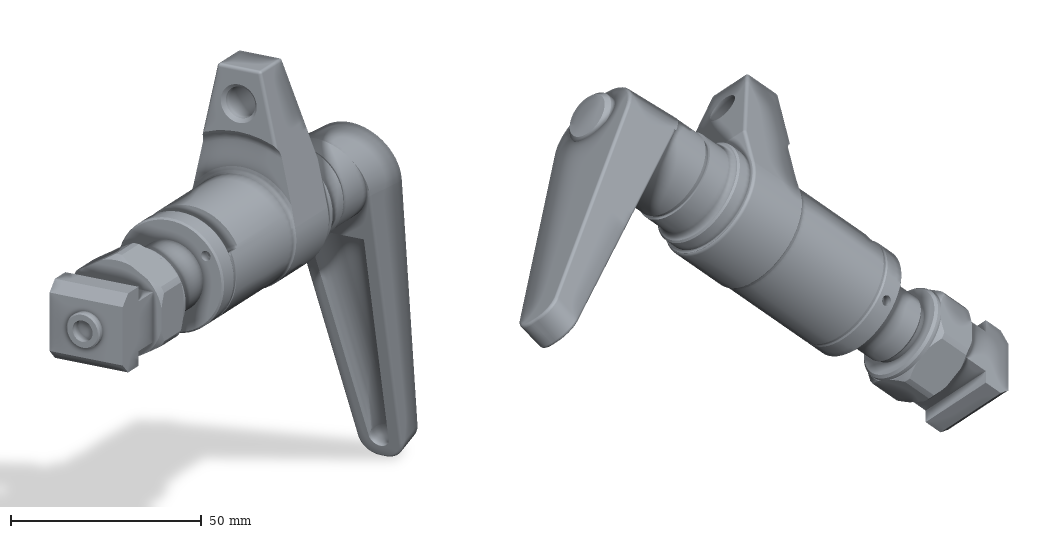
import cadquery as cq
import math


SHAFT_R = 10.0
SLEEVE_LENGTH = 69.5

BODY_R = 16.0
RING_LENGTH = 6.2
RING_CHAMFER = 0.5
RING_GROOVE_LENGTH = 0.9
RING_GROOVE_DEPTH = 0.3
COLLAR_R = 15.1
COLLAR_FRONT = 56.5
COLLAR_BACK = 60.8
COLLAR_CHAMFER = 0.5
NECK_R = 13.15
NECK_FILLET = COLLAR_R - COLLAR_CHAMFER - NECK_R

SLOT_FRONT = RING_LENGTH
SLOT_BACK = 10.9
SLOT_FILLET = 0.8
SLOT_EDGE_ANGLE = 26.0
PIN_HOLE_R = 1.4
PIN_HOLE_DEPTH = 3.0
PIN_HOLE_ANGLE = 35.0
FACE_HOLE_RADIUS = 13.2

TAB_HUB_R = 16.5
TAB_TOP = 46.1
TAB_TOP_HALF_WIDTH = 6.5
TAB_FRONT = 36.9
TAB_BACK = COLLAR_FRONT
TAB_TOP_BACK = 48.6
TAB_EDGE_FILLET = 0.9
TAB_HOLE_Z = 36.0
TAB_HOLE_R = 4.4
TAB_HOLE_CHAMFER = 1.0
RELIEF_FLOOR = 38.8
RELIEF_OUTER_R = 28.1
RELIEF_CONE_R = 27.0
RELIEF_INNER_R = 25.1
RELIEF_FILLET = 1.6
RELIEF_CLEARANCE = 1.0

HEX_BACK = -16.9
HEX_FRONT = -28.6
HEX_FLATS = 27.1
HEX_CORNER_R = 15.15
HEX_CHAMFER = 1.3
FLANGE_R = 13.6
FLANGE_BACK = -15.1
FLANGE_CHAMFER = 0.7
UNDERCUT_R = 9.2
UNDERCUT_BACK = -13.8
BLOCK_WIDTH = 22.0
BLOCK_HEIGHT = 22.2
BLOCK_BACK = -36.4
BLOCK_FRONT = -44.9
BLOCK_CHAMFER = 2.9
BLOCK_NECK_HEIGHT = 14.0
STUD_R = 5.0
STUD_FRONT = -46.8
STUD_CHAMFER = 0.4
SOCKET_R = 3.0
SOCKET_DEPTH = 3.0
DRILL_TIP = 1.5

HUB_R = 12.7
HUB_FRONT = 70.7
HUB_GROOVE_R = 12.2
LEVER_R = 13.55
LEVER_TAPER = 5.0
LEVER_TOP_FRONT = (77.8, 12.4)
LEVER_TOP_BACK = (96.9, 10.9)
LEVER_END_FRONT = (114.1, -88.84)
LEVER_END_BACK = (122.22, -85.8)
LEVER_END_FILLET = 5.9
LEVER_EDGE_FILLET = 0.8
BUTTON_R = 7.6
BUTTON_BACK = 102.2
BUTTON_CHAMFER = 1.2

POCKET_TOP = 32.0
POCKET_END = 100.8
POCKET_TOP_HALF_WIDTH = 8.6
POCKET_END_R = 3.0
POCKET_DEPTH = 5.6
POCKET_FLOOR_FILLET = 5.2
POCKET_END_DEPTH = 2.55
POCKET_CHANNEL_LENGTH = 22.0


def cylinder(radius, back, front):
    """Cylinder on the Y axis between two Y stations."""
    return cq.Workplane("XZ", origin=(0, back, 0)).circle(radius).extrude(back - front)


def block(width, height, back, front):
    """Box centred on the Y axis between two Y stations."""
    return cq.Workplane("XZ", origin=(0, back, 0)).rect(width, height).extrude(back - front)


def revolve_y(profile):
    return profile.close().revolve(360, (0, 0, 0), (0, 1, 0))


def sleeve_body():
    groove_r = BODY_R - RING_GROOVE_DEPTH
    groove_back = RING_LENGTH + RING_GROOVE_LENGTH
    fillet_mid = NECK_FILLET * (1 - math.sqrt(0.5))
    profile = (
        cq.Workplane("XY")
        .lineTo(BODY_R - RING_CHAMFER, 0)
        .lineTo(BODY_R, RING_CHAMFER)
        .lineTo(BODY_R, RING_LENGTH - RING_CHAMFER)
        .lineTo(groove_r, RING_LENGTH)
        .lineTo(groove_r, groove_back)
        .lineTo(BODY_R, groove_back)
        .lineTo(BODY_R, COLLAR_FRONT)
        .lineTo(COLLAR_R, COLLAR_FRONT)
        .lineTo(COLLAR_R, COLLAR_BACK - COLLAR_CHAMFER)
        .lineTo(COLLAR_R - COLLAR_CHAMFER, COLLAR_BACK)
        .threePointArc(
            (NECK_R + fillet_mid, COLLAR_BACK + fillet_mid),
            (NECK_R, COLLAR_BACK + NECK_FILLET),
        )
        .lineTo(NECK_R, SLEEVE_LENGTH)
        .lineTo(0, SLEEVE_LENGTH)
    )
    return revolve_y(profile)


def tab_blank():
    """Hub disc with two sides tangent to it that converge to the flat top."""
    corner_distance = math.hypot(TAB_TOP_HALF_WIDTH, TAB_TOP)
    corner_angle = math.atan2(TAB_TOP, TAB_TOP_HALF_WIDTH)
    tangent_angle = corner_angle - math.acos(TAB_HUB_R / corner_distance)
    tangent_x = TAB_HUB_R * math.cos(tangent_angle)
    tangent_z = TAB_HUB_R * math.sin(tangent_angle)
    blank = (
        cq.Workplane("XZ", origin=(0, TAB_BACK, 0))
        .moveTo(-tangent_x, tangent_z)
        .threePointArc((0, -TAB_HUB_R), (tangent_x, tangent_z))
        .lineTo(TAB_TOP_HALF_WIDTH, TAB_TOP)
        .lineTo(-TAB_TOP_HALF_WIDTH, TAB_TOP)
        .close()
        .extrude(TAB_BACK - TAB_FRONT)
    )
    back_slope = (
        cq.Workplane("YZ")
        .moveTo(TAB_BACK, TAB_HUB_R)
        .lineTo(TAB_TOP_BACK, TAB_TOP)
        .lineTo(TAB_BACK, TAB_TOP)
        .close()
        .extrude(TAB_HUB_R, both=True)
    )
    return blank.cut(back_slope).edges().fillet(TAB_EDGE_FILLET)


def tab_relief():
    """Turned recess in the tab's front, with a fillet down to the sleeve and a conical outer wall."""
    fillet_r = BODY_R + RELIEF_FILLET
    fillet_front = RELIEF_FLOOR - RELIEF_FILLET
    fillet_mid = RELIEF_FILLET * math.sqrt(0.5)
    clear_front = TAB_FRONT - RELIEF_CLEARANCE
    cone_end = TAB_FRONT + RELIEF_OUTER_R - RELIEF_CONE_R
    profile = (
        cq.Workplane("XY")
        .moveTo(BODY_R, clear_front)
        .lineTo(BODY_R, fillet_front)
        .threePointArc(
            (fillet_r - fillet_mid, fillet_front + fillet_mid),
            (fillet_r, RELIEF_FLOOR),
        )
        .lineTo(RELIEF_INNER_R, RELIEF_FLOOR)
        .tangentArcPoint((RELIEF_CONE_R, cone_end), relative=False)
        .lineTo(RELIEF_OUTER_R, TAB_FRONT)
        .lineTo(RELIEF_OUTER_R, clear_front)
    )
    return revolve_y(profile)


def tab_hole():
    hole = cq.Workplane("XZ", origin=(0, TAB_BACK, TAB_HOLE_Z)).circle(TAB_HOLE_R)
    hole = hole.extrude(TAB_BACK - TAB_FRONT)
    countersink = cq.Solid.makeCone(
        TAB_HOLE_R + TAB_HOLE_CHAMFER,
        TAB_HOLE_R,
        TAB_HOLE_CHAMFER,
        pnt=cq.Vector(0, TAB_FRONT, TAB_HOLE_Z),
        dir=cq.Vector(0, 1, 0),
    )
    return hole.union(cq.Workplane(countersink))


def ring_slot():
    """Sector slot open at the top, with radial walls."""
    reach = 2 * BODY_R
    edge_angle = math.radians(SLOT_EDGE_ANGLE)
    edge_x = reach * math.cos(edge_angle)
    edge_z = reach * math.sin(edge_angle)
    sector = (
        cq.Workplane("XZ", origin=(0, SLOT_BACK, 0))
        .lineTo(edge_x, edge_z)
        .lineTo(0, reach)
        .lineTo(-edge_x, edge_z)
        .close()
        .extrude(SLOT_BACK - SLOT_FRONT)
    )
    radial_edges = sector.faces(">Y").edges("<Z")
    return radial_edges.fillet(SLOT_FILLET)


def ring_pin_holes():
    """One axial hole in the ring's front face and one radial hole opposite it."""
    angle = math.radians(PIN_HOLE_ANGLE)
    outward = cq.Vector(math.cos(angle), 0, math.sin(angle))
    axial = cq.Solid.makeCylinder(
        PIN_HOLE_R, PIN_HOLE_DEPTH, outward * FACE_HOLE_RADIUS, cq.Vector(0, 1, 0)
    )
    radial_start = outward * -BODY_R + cq.Vector(0, RING_LENGTH / 2, 0)
    radial = cq.Solid.makeCylinder(PIN_HOLE_R, PIN_HOLE_DEPTH, radial_start, outward)
    return axial, radial


def make_sleeve():
    tab = tab_blank().cut(tab_relief()).cut(tab_hole())
    sleeve = sleeve_body().union(tab).cut(ring_slot())
    for hole in ring_pin_holes():
        sleeve = sleeve.cut(cq.Workplane(hole))
    return sleeve.cut(cylinder(SHAFT_R, SLEEVE_LENGTH, 0))


def hexagon():
    across_corners = HEX_FLATS / math.cos(math.pi / 6)
    prism = (
        cq.Workplane("XZ", origin=(0, HEX_BACK, 0))
        .transformed(rotate=(0, 0, 90))
        .polygon(6, across_corners)
        .extrude(HEX_BACK - HEX_FRONT)
    )
    return prism.intersect(cylinder(HEX_CORNER_R, HEX_BACK, HEX_FRONT).edges().chamfer(HEX_CHAMFER))


def t_block():
    head = block(BLOCK_WIDTH, BLOCK_HEIGHT, BLOCK_BACK, BLOCK_FRONT)
    head = head.faces("<Y").edges("|X").chamfer(BLOCK_CHAMFER)
    neck = block(BLOCK_WIDTH, BLOCK_NECK_HEIGHT, HEX_FRONT, BLOCK_BACK)
    return head.union(neck)


def stud():
    stud_end = cylinder(STUD_R, BLOCK_FRONT, STUD_FRONT)
    return stud_end.faces("<Y").edges().chamfer(STUD_CHAMFER)


def stud_socket():
    socket_floor = STUD_FRONT + SOCKET_DEPTH
    profile = (
        cq.Workplane("XY")
        .moveTo(0, STUD_FRONT)
        .lineTo(SOCKET_R, STUD_FRONT)
        .lineTo(SOCKET_R, socket_floor)
        .lineTo(0, socket_floor + DRILL_TIP)
    )
    return revolve_y(profile)


def make_spindle():
    shaft = cylinder(SHAFT_R, HUB_FRONT, UNDERCUT_BACK)
    spindle = shaft.faces("<Y").edges().chamfer(SHAFT_R - UNDERCUT_R)
    spindle = spindle.union(cylinder(UNDERCUT_R, UNDERCUT_BACK, FLANGE_BACK))
    flange = cylinder(FLANGE_R, FLANGE_BACK, HEX_BACK)
    flange = flange.faces(">Y").edges().chamfer(FLANGE_CHAMFER)
    for piece in (flange, hexagon(), t_block(), stud()):
        spindle = spindle.union(piece)
    return spindle.cut(stud_socket())


FRONT_FACE_ANGLE = math.atan2(
    LEVER_END_FRONT[0] - LEVER_TOP_FRONT[0], LEVER_TOP_FRONT[1] - LEVER_END_FRONT[1]
)
FRONT_NORMAL = cq.Vector(0, -math.cos(FRONT_FACE_ANGLE), -math.sin(FRONT_FACE_ANGLE))
FRONT_FACE = cq.Plane(origin=(0, *LEVER_TOP_FRONT), xDir=(1, 0, 0), normal=FRONT_NORMAL)
LEVER_TILT = math.atan2(
    LEVER_TOP_FRONT[1] - LEVER_TOP_BACK[1], LEVER_TOP_BACK[0] - LEVER_TOP_FRONT[0]
)


def lever_teardrop():
    """Rounded head with tangent converging sides, extruded along the slightly tilted head axis."""
    axis = cq.Vector(0, math.cos(LEVER_TILT), -math.sin(LEVER_TILT))
    below_top = cq.Vector(0, -math.sin(LEVER_TILT), -math.cos(LEVER_TILT)) * LEVER_R
    centre = cq.Vector(0, *LEVER_TOP_FRONT) + below_top
    reach = LEVER_END_BACK[0] - LEVER_TOP_FRONT[0]
    drop = LEVER_TOP_FRONT[1] - LEVER_END_FRONT[1] + LEVER_R
    taper = math.radians(LEVER_TAPER)
    tangent_x = LEVER_R * math.cos(taper)
    tangent_down = LEVER_R * math.sin(taper)
    end_x = tangent_x - (drop - tangent_down) * math.tan(taper)
    section = cq.Plane(origin=centre - axis * reach, xDir=(1, 0, 0), normal=axis)
    return (
        cq.Workplane(section)
        .moveTo(-tangent_x, tangent_down)
        .threePointArc((0, -LEVER_R), (tangent_x, tangent_down))
        .lineTo(end_x, drop)
        .lineTo(-end_x, drop)
        .close()
        .extrude(3 * reach)
    )


def head_front():
    """Front half of the round head, where the front edge stays sharp."""
    size = 2 * LEVER_R
    start = (0, LEVER_TOP_FRONT[0], LEVER_TOP_FRONT[1] - LEVER_R)
    length = (LEVER_TOP_BACK[0] - LEVER_TOP_FRONT[0]) / 2
    return cq.Workplane("XY", origin=start).center(0, length / 2).rect(size, length).extrude(size)


def lever_arm():
    corners = [LEVER_TOP_FRONT, LEVER_TOP_BACK, LEVER_END_BACK, LEVER_END_FRONT]
    side = cq.Workplane("YZ").polyline(corners).close().extrude(2 * LEVER_R, both=True)
    sharp_arm = lever_teardrop().intersect(side)
    end_face = sharp_arm.faces(cq.DirectionMinMaxSelector(FRONT_FACE.yDir, False))
    arm = end_face.edges("not |X").fillet(LEVER_END_FILLET)
    back_normal = cq.Vector(
        0, LEVER_TOP_BACK[1] - LEVER_END_BACK[1], LEVER_END_BACK[0] - LEVER_TOP_BACK[0]
    )
    front_edges = arm.faces(cq.DirectionMinMaxSelector(FRONT_NORMAL)).edges()
    back_edges = arm.faces(cq.DirectionMinMaxSelector(back_normal)).edges()
    rounded_arm = front_edges.add(back_edges).fillet(LEVER_EDGE_FILLET)
    return rounded_arm.union(sharp_arm.intersect(head_front()))


def pocket_blank(left_bottom, left_top, right_bottom, right_top):
    """Block sunk into the lever's front face, bounded by X values at the pocket's end and top."""
    return (
        cq.Workplane(FRONT_FACE)
        .moveTo(left_bottom, -POCKET_END)
        .lineTo(right_bottom, -POCKET_END)
        .lineTo(right_top, -POCKET_TOP)
        .lineTo(left_top, -POCKET_TOP)
        .close()
        .extrude(-POCKET_DEPTH)
    )


def pocket_end():
    """Round-bottomed channel that closes the pocket's narrow end with a ball."""
    mouth = cq.Workplane(FRONT_FACE).center(0, -POCKET_END).circle(POCKET_END_R)
    mouth = mouth.extrude(-POCKET_END_DEPTH)
    centre = FRONT_FACE.toWorldCoords((0, -POCKET_END, -POCKET_END_DEPTH))
    channel = cq.Solid.makeCylinder(POCKET_END_R, POCKET_CHANNEL_LENGTH, centre, FRONT_FACE.yDir)
    ball = cq.Workplane("XY", origin=centre).sphere(POCKET_END_R)
    return mouth.union(ball).union(cq.Workplane(channel))


def pocket():
    """Tapered pocket; where it is narrow the two floor fillets meet in a ridge."""
    wide = 3 * POCKET_TOP_HALF_WIDTH
    floor_selector = cq.DirectionMinMaxSelector(FRONT_NORMAL, False)
    half = pocket_blank(-POCKET_END_R, -POCKET_TOP_HALF_WIDTH, wide, wide)
    half = half.faces(floor_selector).edges("<X").fillet(POCKET_FLOOR_FILLET)
    return half.intersect(half.mirror("YZ")).union(pocket_end())


def lever_hub():
    """Round hub in front of the lever, ending at the lever's sloping front face."""
    behind_face = (
        cq.Workplane(FRONT_FACE)
        .rect(8 * LEVER_R, 8 * LEVER_R)
        .extrude(-4 * LEVER_R)
    )
    hub = cylinder(HUB_R, LEVER_TOP_BACK[0], HUB_FRONT)
    hub = hub.union(cylinder(HUB_GROOVE_R, HUB_FRONT, SLEEVE_LENGTH))
    return hub.cut(behind_face)


def button():
    lever_middle = (LEVER_TOP_FRONT[0] + LEVER_TOP_BACK[0]) / 2
    disc = cylinder(BUTTON_R, BUTTON_BACK, lever_middle)
    return disc.faces(">Y").edges().chamfer(BUTTON_CHAMFER)


def make_lever_spindle():
    lever = lever_arm().cut(pocket())
    for piece in (button(), lever_hub(), make_spindle()):
        lever = lever.union(piece)
    return lever


sleeve = make_sleeve()
lever_spindle = make_lever_spindle()

result = cq.Compound.makeCompound([sleeve.solids().val(), lever_spindle.solids().val()])